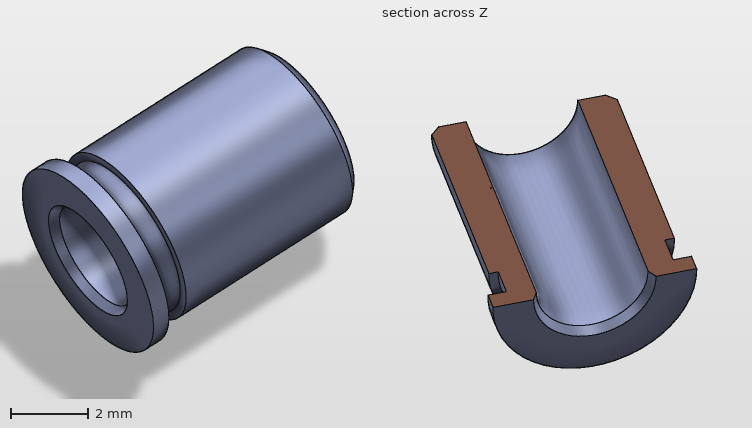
import cadquery as cq

length = 7.01
flange_diameter = 5.49
flange_thickness = 0.505
groove_diameter = 4.5
groove_width = 0.765
body_diameter = 5.005
body_chamfer = 0.25
bore_diameter = 3.0
bore_chamfer_width = 0.15
bore_chamfer_depth = 0.25

flange_radius = flange_diameter / 2
groove_radius = groove_diameter / 2
body_radius = body_diameter / 2
bore_radius = bore_diameter / 2
body_start = flange_thickness + groove_width

wall_section = [
    (bore_radius, bore_chamfer_depth),
    (bore_radius + bore_chamfer_width, 0),
    (flange_radius, 0),
    (flange_radius, flange_thickness),
    (groove_radius, flange_thickness),
    (groove_radius, body_start),
    (body_radius, body_start),
    (body_radius, length - body_chamfer),
    (body_radius - body_chamfer, length),
    (bore_radius, length),
]

result = cq.Workplane("XY").polyline(wall_section).close().revolve(360, (0, 0, 0), (0, 1, 0))